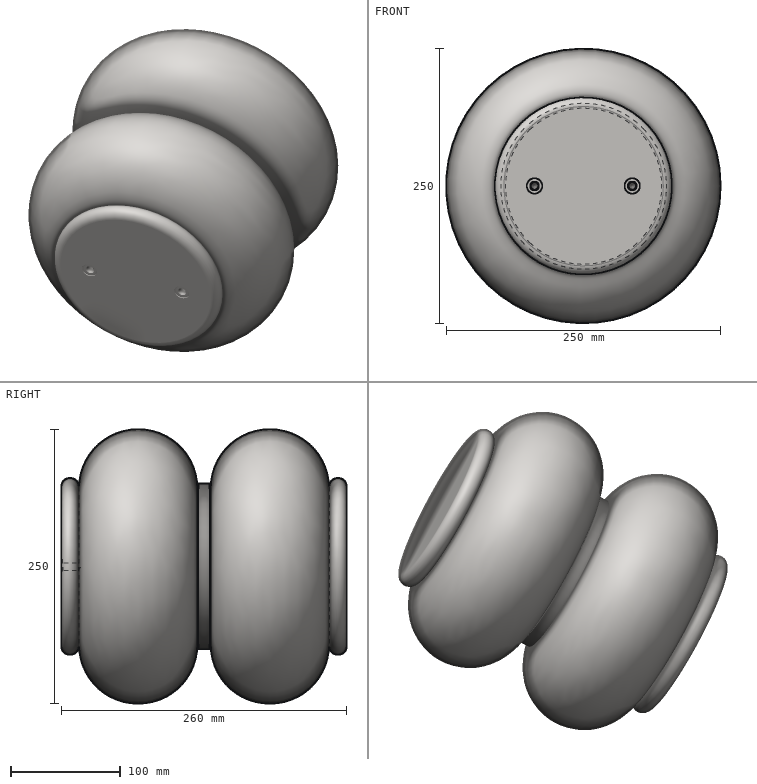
import cadquery as cq
import math

total_length = 260.0
bellows_diameter = 250.0
plate_face_diameter = 145.0
bead_width = 16.0
girdle_diameter = 151.0
girdle_width = 10.5
bellows_gap = 12.0

hole_offset = 44.5
hole_diameter = 6.8
hole_mouth_diameter = 8.0
hole_depth = 15.5
drill_point_angle = 118.0
seat_diameter = 14.0
seat_recess = 0.8

end_y = total_length / 2
bellows_width = (total_length - 2 * bead_width - bellows_gap) / 2
bellows_center_y = (bellows_gap + bellows_width) / 2
bead_center_y = end_y - bead_width / 2


def rounded_disc(center_y, width, flat_radius):
    """Disc on the Y axis with flat faces and a full half-round rim."""
    low_y = center_y - width / 2
    high_y = center_y + width / 2
    return (
        cq.Workplane("XY")
        .moveTo(0, low_y)
        .lineTo(flat_radius, low_y)
        .threePointArc((flat_radius + width / 2, center_y), (flat_radius, high_y))
        .lineTo(0, high_y)
        .close()
        .revolve(360, (0, 0, 0), (0, 1, 0))
    )


def end_cylinder(x, diameter, depth):
    """Cylinder running inward from the -Y end face."""
    start = cq.Vector(x, -end_y, 0)
    return cq.Workplane(cq.Solid.makeCylinder(diameter / 2, depth, start, cq.Vector(0, 1, 0)))


def mounting_hole(x):
    """Shallow seat and a countersunk blind hole with a conical bottom."""
    hole_radius = hole_diameter / 2
    mouth_radius = hole_mouth_diameter / 2
    countersink_depth = mouth_radius - hole_radius
    point_depth = hole_radius / math.tan(math.radians(drill_point_angle / 2))
    seat_y = -end_y + seat_recess
    inward = cq.Vector(0, 1, 0)
    mouth = cq.Solid.makeCone(
        mouth_radius, hole_radius, countersink_depth, cq.Vector(x, seat_y, 0), inward
    )
    point = cq.Solid.makeCone(
        hole_radius, 0, point_depth, cq.Vector(x, -end_y + hole_depth, 0), inward
    )
    seat = end_cylinder(x, seat_diameter, seat_recess)
    bore = end_cylinder(x, hole_diameter, hole_depth)
    return seat.union(bore).union(cq.Workplane(mouth)).union(cq.Workplane(point))


def middle_disc(diameter, width):
    """Plain disc centred between the two bellows."""
    return cq.Workplane("XZ").circle(diameter / 2).extrude(width / 2, both=True)


bellows_flat_radius = (bellows_diameter - bellows_width) / 2
core = middle_disc(2 * bellows_flat_radius, bellows_gap)
result = core.union(middle_disc(girdle_diameter, girdle_width))

for side in (-1, 1):
    bellows = rounded_disc(side * bellows_center_y, bellows_width, bellows_flat_radius)
    bead = rounded_disc(side * bead_center_y, bead_width, plate_face_diameter / 2)
    result = result.union(bellows).union(bead)

for side in (-1, 1):
    result = result.cut(mounting_hole(side * hole_offset))